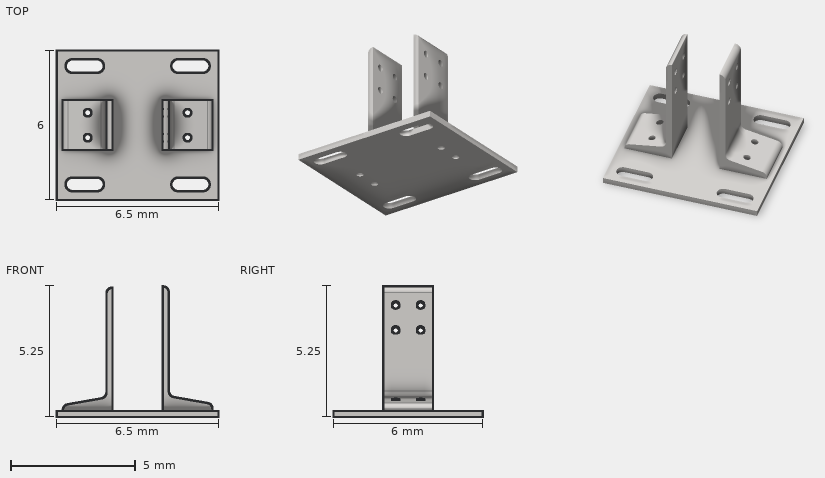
import cadquery as cq
import math

PLATE_LENGTH = 6.5
PLATE_WIDTH = 6.0
PLATE_THICKNESS = 0.255

SLOT_LENGTH = 1.53
SLOT_WIDTH = 0.53
SLOT_X = 2.12
SLOT_Y = 2.37

BRACKET_GAP = 2.0
BRACKET_WIDTH = 2.0
FOOT_LENGTH = 2.0
BRACKET_HEIGHT = 5.0
WALL_THICKNESS = 0.255
EDGE_RADIUS = 0.25
FOOT_TIP_HEIGHT = 0.285
FOOT_SLOPE = 10.0
LEFT_SINK = 0.05

HOLE_DIAMETER = 0.29
HOLE_PITCH = 1.0
TOP_HOLE_DEPTH = 0.75
HOLE_YS = [-HOLE_PITCH / 2, HOLE_PITCH / 2]
FOOT_HOLE_X = (BRACKET_GAP + FOOT_LENGTH) / 2


def foot_holes(side):
    """Vertical cutters through a foot and the plate under it."""
    return (
        cq.Workplane("XY", origin=(0, 0, -PLATE_THICKNESS))
        .pushPoints([(side * FOOT_HOLE_X, y) for y in HOLE_YS])
        .circle(HOLE_DIAMETER / 2)
        .extrude(PLATE_THICKNESS + BRACKET_HEIGHT)
    )


def make_plate():
    plate = cq.Workplane("XY").box(
        PLATE_LENGTH, PLATE_WIDTH, PLATE_THICKNESS, centered=(True, True, False)
    ).translate((0, 0, -PLATE_THICKNESS))
    slots = (
        cq.Workplane("XY", origin=(0, 0, -PLATE_THICKNESS))
        .rect(2 * SLOT_X, 2 * SLOT_Y, forConstruction=True)
        .vertices()
        .slot2D(SLOT_LENGTH, SLOT_WIDTH)
        .extrude(PLATE_THICKNESS)
    )
    plate = plate.cut(slots)
    recess = cq.Workplane("XY", origin=(-FOOT_HOLE_X, 0, 0)).box(
        FOOT_LENGTH, BRACKET_WIDTH, 2 * LEFT_SINK
    )
    plate = plate.cut(recess)
    for side in (-1, 1):
        plate = plate.cut(foot_holes(side))
    return plate


def bracket_profile(side, sink):
    """L-shaped section in XZ, its foot pointing along side (-1 or +1) and its sole at Z = -sink."""
    slope = math.radians(FOOT_SLOPE)
    back = BRACKET_GAP / 2
    wall_face = back + WALL_THICKNESS
    tip = back + FOOT_LENGTH
    top = BRACKET_HEIGHT - sink
    tip_height = FOOT_TIP_HEIGHT - sink

    def slope_height(x):
        return tip_height + (tip - x) * math.tan(slope)

    arc_run = EDGE_RADIUS * (1 - math.sin(slope))
    arc_rise = EDGE_RADIUS * math.cos(slope)
    root_x = wall_face + arc_run
    root_z = slope_height(root_x)
    round_x = tip - arc_run
    round_z = slope_height(round_x)

    mid_angle = (math.pi / 2 - slope) / 2
    mid_x = EDGE_RADIUS * math.cos(mid_angle)
    mid_z = EDGE_RADIUS * math.sin(mid_angle)
    root_centre = (wall_face + EDGE_RADIUS, root_z + arc_rise)
    round_centre = (tip - EDGE_RADIUS, round_z - arc_rise)
    top_mid = EDGE_RADIUS * math.sqrt(0.5)

    def at(x, z):
        return (side * x, z)

    return (
        cq.Workplane("XZ", origin=(0, BRACKET_WIDTH / 2, 0))
        .moveTo(*at(back, -sink))
        .lineTo(*at(back, top))
        .lineTo(*at(wall_face - EDGE_RADIUS, top))
        .threePointArc(
            at(wall_face - EDGE_RADIUS + top_mid, top - EDGE_RADIUS + top_mid),
            at(wall_face, top - EDGE_RADIUS),
        )
        .lineTo(*at(wall_face, root_centre[1]))
        .threePointArc(at(root_centre[0] - mid_x, root_centre[1] - mid_z), at(root_x, root_z))
        .lineTo(*at(round_x, round_z))
        .threePointArc(
            at(round_centre[0] + mid_x, round_centre[1] + mid_z),
            at(tip, round_centre[1]),
        )
        .lineTo(*at(tip, -sink))
        .close()
    )


def make_bracket(side, sink):
    upper_row = BRACKET_HEIGHT - sink - TOP_HOLE_DEPTH
    wall_holes = (
        cq.Workplane("YZ")
        .pushPoints([(y, z) for y in HOLE_YS for z in (upper_row, upper_row - HOLE_PITCH)])
        .circle(HOLE_DIAMETER / 2)
        .extrude(side * PLATE_LENGTH / 2)
    )
    bracket = bracket_profile(side, sink).extrude(BRACKET_WIDTH)
    return bracket.cut(wall_holes).cut(foot_holes(side))


plate = make_plate()
brackets = [make_bracket(side, sink) for side, sink in ((-1, LEFT_SINK), (1, 0.0))]

result = cq.Compound.makeCompound([plate.val(), *[bracket.val() for bracket in brackets]])